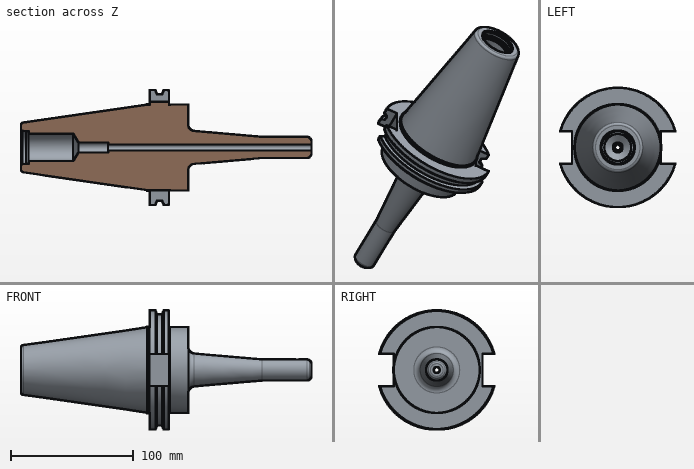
import cadquery as cq
import math

gauge_x = 102.5
lip_end = 103.8
flange_start = 104.8
flange_end = 120.5
relief_end = 121.3
collar_end = 136.2
shank_start = 196.3
total_length = 236.5

gauge_radius = 69.8 / 2
lip_radius = 35.5
taper_small_radius = 20.0
flange_radius = 97.5 / 2
collar_radius = 70.2 / 2
neck_radius = 14.0
shank_radius = 17.5 / 2

taper_edge_round = 2.4
neck_fillet = 5.2
tip_chamfer = 2.5
tip_round = 2.4
flange_chamfer = 0.7

groove_center = 112.8
groove_top_width = 6.9
groove_floor_width = 4.0
groove_depth = 3.3

slot_width = 26.3
slot_floor_front = 35.0
slot_floor_back = 37.4

mouth_radius = 14.0
mouth_depth = 1.5
entry_radius = 26.7 / 2
entry_depth = 4.3
counterbore_radius = 26.3 / 2
counterbore_depth = 6.5
bore_radius = 22.0 / 2
bore_depth = 42.5
pilot_radius = 8.0 / 2
pilot_depth = 71.0
coolant_radius = 4.7 / 2
drill_point_half_angle = 59.0
cross_hole_diameter = 4.0
cross_hole_x = 224.7


def revolve_about_x(outline):
    return outline.close().revolve(360, (0, 0, 0), (1, 0, 0))


def make_taper():
    """Machine taper with a rounded small end and a narrow lip at its gauge end."""
    outline = (
        cq.Workplane("XY")
        .lineTo(0, taper_small_radius)
        .lineTo(gauge_x, gauge_radius)
        .lineTo(gauge_x, lip_radius)
        .lineTo(lip_end, lip_radius)
        .lineTo(lip_end, gauge_radius)
        .lineTo(flange_start, gauge_radius)
        .lineTo(flange_start, 0)
    )
    return revolve_about_x(outline).faces("<X").edges().fillet(taper_edge_round)


def make_flange():
    """Flange with a V-sided groove, chamfered rear rim and two drive slots."""
    half_top = groove_top_width / 2
    half_floor = groove_floor_width / 2
    floor_radius = flange_radius - groove_depth
    outline = (
        cq.Workplane("XY")
        .moveTo(flange_start, 0)
        .lineTo(flange_start, flange_radius)
        .lineTo(groove_center - half_top, flange_radius)
        .lineTo(groove_center - half_floor, floor_radius)
        .lineTo(groove_center + half_floor, floor_radius)
        .lineTo(groove_center + half_top, flange_radius)
        .lineTo(flange_end - flange_chamfer, flange_radius)
        .lineTo(flange_end, flange_radius - flange_chamfer)
        .lineTo(flange_end, 0)
    )
    flange = revolve_about_x(outline)
    for side, floor in ((-1, slot_floor_front), (1, slot_floor_back)):
        slot_depth = flange_radius - floor
        slot = cq.Workplane("XY").box(relief_end - flange_start, slot_depth, slot_width)
        slot_center = ((flange_start + relief_end) / 2, side * (floor + slot_depth / 2), 0)
        flange = flange.cut(slot.translate(slot_center))
    return flange


def make_nose():
    """Collar, tapered neck and straight shank with a chamfered tip blended by rounds."""
    slope = math.atan2(neck_radius - shank_radius, shank_start - collar_end)
    fillet_x = collar_end + neck_fillet
    fillet_r = (
        neck_radius - neck_fillet * math.tan(slope) + neck_fillet / math.cos(slope)
    )
    touch_x = fillet_x - neck_fillet * math.sin(slope)
    touch_r = fillet_r - neck_fillet * math.cos(slope)
    middle_angle = (math.pi / 2 - slope) / 2
    middle = (
        fillet_x - neck_fillet * math.cos(middle_angle),
        fillet_r - neck_fillet * math.sin(middle_angle),
    )
    outline = (
        cq.Workplane("XY")
        .moveTo(flange_end, 0)
        .lineTo(flange_end, gauge_radius)
        .lineTo(relief_end, gauge_radius)
        .lineTo(relief_end, collar_radius)
        .lineTo(collar_end, collar_radius)
        .lineTo(collar_end, fillet_r)
        .threePointArc(middle, (touch_x, touch_r))
        .lineTo(shank_start, shank_radius)
        .lineTo(total_length - tip_chamfer, shank_radius)
        .lineTo(total_length, shank_radius - tip_chamfer)
        .lineTo(total_length, 0)
    )
    nose = revolve_about_x(outline)
    tip_start = total_length - tip_chamfer - tip_round
    tip_edges = cq.selectors.BoxSelector(
        (tip_start, -collar_radius, -collar_radius),
        (total_length + tip_round, collar_radius, collar_radius),
    )
    return nose.edges(tip_edges).edges("%CIRCLE").fillet(tip_round)


def make_bore():
    """Stepped bore from the small end, opening into the through coolant hole."""
    cone_length = (bore_radius - pilot_radius) / math.tan(math.radians(drill_point_half_angle))
    outline = (
        cq.Workplane("XY")
        .lineTo(0, mouth_radius)
        .lineTo(mouth_depth, entry_radius)
        .lineTo(entry_depth, entry_radius)
        .lineTo(entry_depth, counterbore_radius)
        .lineTo(counterbore_depth, counterbore_radius)
        .lineTo(counterbore_depth, bore_radius)
        .lineTo(bore_depth, bore_radius)
        .lineTo(bore_depth + cone_length, pilot_radius)
        .lineTo(pilot_depth, pilot_radius)
        .lineTo(pilot_depth, coolant_radius)
        .lineTo(total_length, coolant_radius)
        .lineTo(total_length, 0)
    )
    return revolve_about_x(outline)


def make_cross_hole():
    """Radial hole from the top of the shank down to the coolant hole."""
    return (
        cq.Workplane("XY")
        .center(cross_hole_x, 0)
        .circle(cross_hole_diameter / 2)
        .extrude(shank_radius)
    )


body = make_taper().union(make_flange()).union(make_nose())
result = body.cut(make_bore()).cut(make_cross_hole())